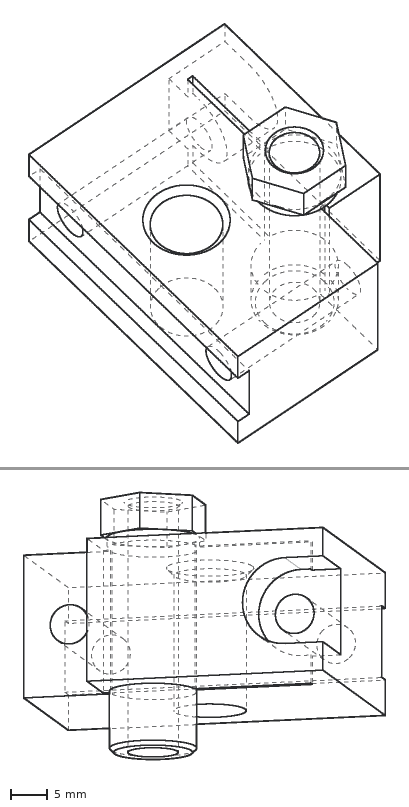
import cadquery as cq
import math

length = 45.0
depth = 35.0
height = 20.0
top = height / 2

slit_width = 0.9
jaw_and_slit_depth = 10.0
slit_start_x = 4.05
jaw_end_x = 33.5
slit_front_y = depth - jaw_and_slit_depth

pocket_width = 12.0
pocket_center_x = 5.4

groove_depth = 2.0
groove_width = 10.0
cross_hole_diameter = 5.5
cross_hole_inset = 6.52

main_hole_x = length / 2
main_hole_y = 9.5
main_hole_diameter = 10.0
main_hole_mouth_diameter = 12.0

screw_x = 26.5
screw_y = slit_front_y + slit_width / 2
head_across_flats = 13.0
head_height = 5.0
collar_diameter = 12.8
collar_height = 1.5
shank_diameter = 12.0
shank_projection = 8.55
shank_chamfer = 0.6
bore_diameter = 6.95
bore_mouth_diameter = 8.0


def box(x_start, x_end, y_start, y_end, box_height):
    """Box between two X and two Y positions, centred in Z."""
    return (
        cq.Workplane("XY", origin=(x_start, y_start, -box_height / 2))
        .box(x_end - x_start, y_end - y_start, box_height, centered=False)
    )


def countersunk_hole(x, y, z_bottom, z_top, diameter, mouth_diameter):
    """Cutter for a vertical hole with a 45-degree mouth at its upper end."""
    radius = diameter / 2
    mouth_radius = mouth_diameter / 2
    return (
        cq.Workplane("XZ", origin=(x, y, 0))
        .moveTo(0, z_bottom)
        .lineTo(radius, z_bottom)
        .lineTo(radius, z_top - (mouth_radius - radius))
        .lineTo(mouth_radius, z_top)
        .lineTo(0, z_top)
        .close()
        .revolve(360, (0, 0, 0), (0, 1, 0))
    )


def cylinder_along_y(x, y_start, y_end, diameter):
    """Cylinder parallel to Y at mid-height."""
    return (
        cq.Workplane("XZ", origin=(x, y_start, 0))
        .circle(diameter / 2)
        .extrude(y_start - y_end)
    )


def make_block():
    block = box(0, length, 0, depth, height)

    block = block.cut(box(jaw_end_x, length, slit_front_y, depth, height))
    block = block.cut(box(slit_start_x, length, slit_front_y, slit_front_y + slit_width, height))

    block = block.cut(box(0, pocket_center_x, slit_front_y, depth, pocket_width))
    block = block.cut(cylinder_along_y(pocket_center_x, slit_front_y, depth, pocket_width))

    block = block.cut(box(0, length, 0, groove_depth, groove_width))

    for x in (cross_hole_inset, length - cross_hole_inset):
        block = block.cut(cylinder_along_y(x, 0, depth, cross_hole_diameter))

    main_hole = countersunk_hole(
        main_hole_x, main_hole_y, -top, top, main_hole_diameter, main_hole_mouth_diameter
    )
    return block.cut(main_hole)


def make_screw():
    screw_bottom = -top - shank_projection
    head_bottom = top + collar_height
    shank = (
        cq.Workplane("XY", origin=(screw_x, screw_y, screw_bottom))
        .circle(shank_diameter / 2)
        .extrude(top - screw_bottom)
        .faces("<Z")
        .chamfer(shank_chamfer)
    )
    collar = (
        cq.Workplane("XY", origin=(screw_x, screw_y, top))
        .circle(collar_diameter / 2)
        .extrude(collar_height)
    )
    across_corners = head_across_flats / math.cos(math.pi / 6)
    head = (
        cq.Workplane("XY", origin=(screw_x, screw_y, head_bottom))
        .transformed(rotate=(0, 0, 90))
        .polygon(6, across_corners)
        .extrude(head_height)
    )
    return shank.union(collar).union(head)


screw_bore = countersunk_hole(
    screw_x,
    screw_y,
    -top - shank_projection,
    top + collar_height + head_height,
    bore_diameter,
    bore_mouth_diameter,
)
result = make_block().union(make_screw()).cut(screw_bore)